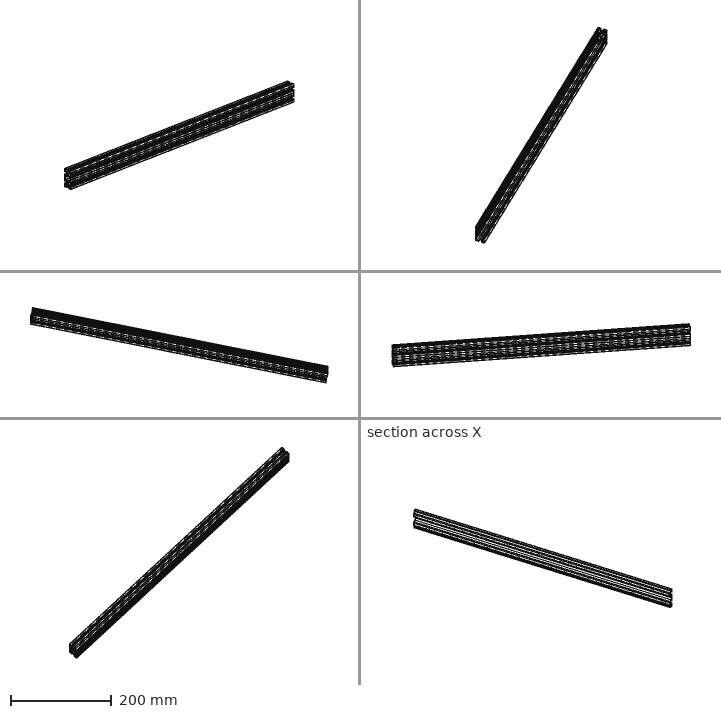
import cadquery as cq

length = 600.0
cell = length / 30
cell_count = 2
corner_radius = 1.5

slot_opening = 5.3
lip_chamfer = 0.55
slot_inner_width = 11.5
wall = 1.5
core_width = 8.0
core_flat = 5.5
bore_diameter = 4.0

width = cell
height = cell_count * cell
cell_half = cell / 2
core_half = core_width / 2
flat_half = core_flat / 2
wall_inside = cell_half - wall


def extrude_profile(sketch):
    """Extrude a closed XZ profile along the whole length, centred on Y."""
    return sketch.extrude(length / 2, both=True)


def make_body():
    """Solid bar with rounded long edges."""
    return extrude_profile(cq.Workplane("XZ").rect(width, height)).edges("|Y").fillet(corner_radius)


def make_top_slot():
    """T-slot opening towards +Z, for a cell centred on the origin."""
    mouth_half = slot_opening / 2
    inner_half = slot_inner_width / 2
    flank_top = core_half + inner_half - flat_half
    right_side = [
        (mouth_half + lip_chamfer, cell_half),
        (mouth_half, cell_half - lip_chamfer),
        (mouth_half, wall_inside),
        (inner_half, wall_inside),
        (inner_half, flank_top),
        (flat_half, core_half),
    ]
    left_side = [(-x, z) for x, z in reversed(right_side)]
    return extrude_profile(cq.Workplane("XZ").polyline(right_side + left_side).close())


def make_central_cavity():
    """Eight-sided through cavity between the two cores, with 45 degree flanks along the ribs."""
    cavity_top = cell_half - core_half
    side_top = cavity_top - (wall_inside - flat_half)
    upper = [
        (wall_inside, side_top),
        (flat_half, cavity_top),
        (-flat_half, cavity_top),
        (-wall_inside, side_top),
    ]
    lower = [(-x, -z) for x, z in upper]
    return extrude_profile(cq.Workplane("XZ").polyline(upper + lower).close())


def make_bore():
    """Round bore along a core."""
    return extrude_profile(cq.Workplane("XZ").circle(bore_diameter / 2))


body = make_body().cut(make_central_cavity())
top_slot = make_top_slot()
bore = make_bore()

for end_direction, end_angle in ((1, 0), (-1, 180)):
    cell_centre = (0, 0, end_direction * cell_half)
    body = body.cut(bore.translate(cell_centre))
    for slot_angle in (90, -90, end_angle):
        slot = top_slot.rotate((0, 0, 0), (0, 1, 0), slot_angle)
        body = body.cut(slot.translate(cell_centre))

result = body